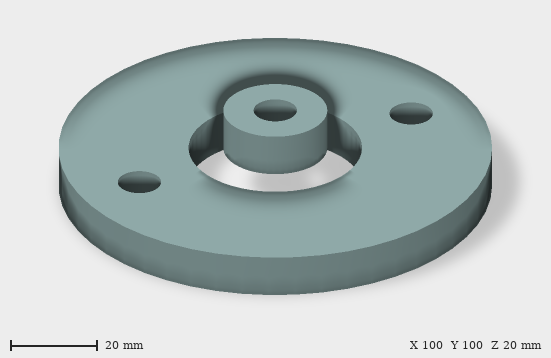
import cadquery as cq

flange_diameter = 100.0
flange_thickness = 10.0
opening_diameter = 40.0
bolt_hole_diameter = 10.0
bolt_hole_offset = 35.0

bush_diameter = 24.0
bush_bore_diameter = 10.0
bush_height = 10.0


def ring(outer_diameter, inner_diameter, height, base_z):
    """Upright ring centred on the Z axis, with its lower face at base_z."""
    return (
        cq.Workplane("XY", origin=(0, 0, base_z))
        .circle(outer_diameter / 2)
        .circle(inner_diameter / 2)
        .extrude(height)
    )


def make_flange():
    """Ring with two through holes on opposite sides of its opening."""
    bolt_holes = (
        cq.Workplane("XY")
        .pushPoints([(0, -bolt_hole_offset), (0, bolt_hole_offset)])
        .circle(bolt_hole_diameter / 2)
        .extrude(flange_thickness)
    )
    return ring(flange_diameter, opening_diameter, flange_thickness, 0).cut(bolt_holes)


def make_bush():
    """Plain sleeve, smaller than the opening and clear of the flange."""
    return ring(bush_diameter, bush_bore_diameter, bush_height, flange_thickness)


flange = make_flange()
bush = make_bush()

result = cq.Compound.makeCompound([flange.val(), bush.val()])